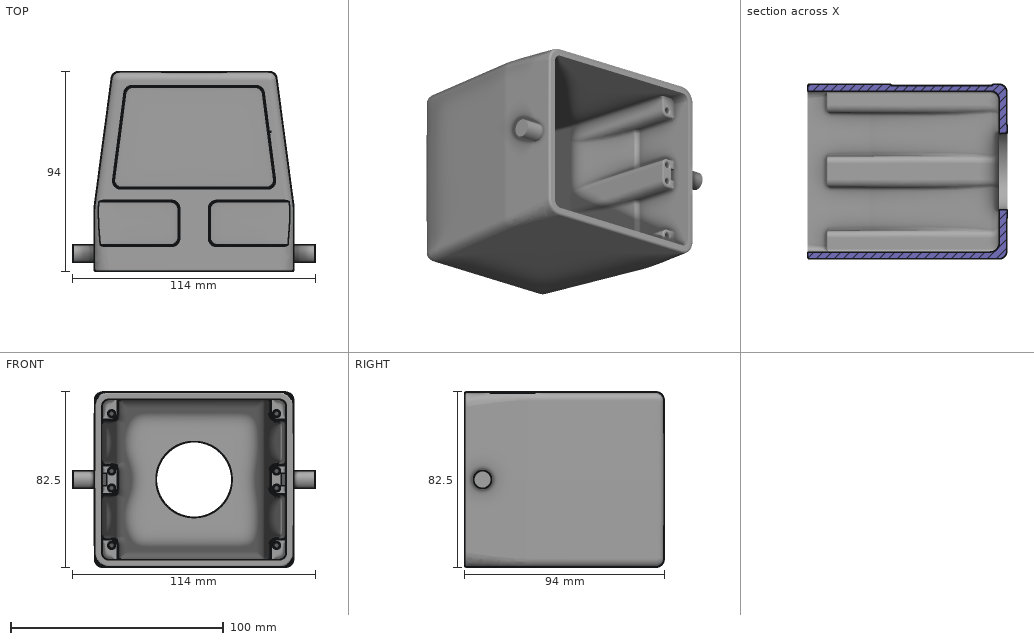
import cadquery as cq
LENGTH = 94.0
WIDTH = 94.0
HEIGHT = 82.5
BACK_WIDTH = 77.0
BEND_Y = 30.0
BEND_RADIUS = 17.0
BACK_CORNER_RADIUS = 3.5
DRAFT = 0.25
EDGE_RADIUS = 4.0
MOUTH_EDGE_RADIUS = 7.0
RIM_RADIUS = 1.0

MOUTH_WALL = 3.6
BEND_WALL = 4.3
FLOOR_WALL = 2.4
BACK_WALL = 4.0
Z_WALL = 3.5
STEP_Y = 32.0
STEP = 2.0
STEP_LENGTH = 1.5
STEP_EDGE_RADIUS = 1.0
RIGHT_FLOOR_X = 32.6
CAVITY_CORNER_RADIUS = 3.5
FLOOR_RADIUS = 4.0

RIB_Y = 9.0
RIB_RADIUS = 3.0
RIB_DRAFT = 0.5
RIB_END_CHAMFER = 0.4
RIB_ROOT_RADIUS = 1.5
CORNER_ROOT_RADIUS = 1.2
SCREW_X = 38.8
INNER_SCREW_Z = 4.0
OUTER_SCREW_Z = 31.0
SCREW_DIAMETER = 2.74
SCREW_MOUTH_DIAMETER = 3.5
SCREW_DEPTH = 12.0
NOTCH_WIDTH = 5.8
NOTCH_X = 41.0
NOTCH_DEPTH = 5.0

ENTRY_DIAMETER = 35.6
PIN_DIAMETER = 8.4
PIN_SPAN = 114.0
PIN_Y = 8.4

PANEL_DEPTH = 0.7
PANEL_TAPER = 45.0
PANEL_RADIUS = 4.0
LABEL_FRONT_Y = 38.8
LABEL_BACK_Y = 87.4
LABEL_FRONT_WIDTH = 77.6
LABEL_BACK_WIDTH = 65.0
GRIP_FRONT_Y = 11.8
GRIP_BACK_Y = 33.4
GRIP_INNER_X = 6.8

HALF_WIDTH = WIDTH / 2
HALF_HEIGHT = HEIGHT / 2
FLOOR_Y = LENGTH - BACK_WALL
CAVITY_HALF_HEIGHT = HALF_HEIGHT - Z_WALL


def make_outer():
    """Solid outside of the hood: a drafted upper half and its mirror image."""
    outline = (
        cq.Sketch()
        .polygon([
            (-HALF_WIDTH, -MOUTH_EDGE_RADIUS),
            (HALF_WIDTH, -MOUTH_EDGE_RADIUS),
            (HALF_WIDTH, BEND_Y),
            (BACK_WIDTH / 2, LENGTH),
            (-BACK_WIDTH / 2, LENGTH),
            (-HALF_WIDTH, BEND_Y),
            (-HALF_WIDTH, -MOUTH_EDGE_RADIUS),
        ])
        .vertices(">Y").fillet(BACK_CORNER_RADIUS)
        .reset()
        .vertices(cq.selectors.BoxSelector(
            (-WIDTH, BEND_Y - 1, -1), (WIDTH, BEND_Y + 1, 1)))
        .fillet(BEND_RADIUS)
        .reset()
    )
    half = cq.Workplane("XY").placeSketch(outline).extrude(HALF_HEIGHT, taper=DRAFT)
    behind_mouth = cq.Workplane("XY").box(2 * WIDTH, LENGTH, HEIGHT, centered=(True, False, False))
    half = round_long_edges(half.intersect(behind_mouth))
    body = half.union(half.mirror("XY"))
    return body.faces("<Y").edges().fillet(RIM_RADIUS)


def round_long_edges(half):
    """Round the top outline; the radius grows from the bend towards the mouth."""
    solid = half.val()
    fillet = cq.occ_impl.shapes.BRepFilletAPI_MakeFillet(solid.wrapped)
    start = half.faces(">Z").edges(">X").val()
    fillet.Add(EDGE_RADIUS, start.wrapped)
    last = fillet.NbEdges(1)
    for index in range(1, last + 1):
        fillet.SetRadius(EDGE_RADIUS, 1, index)
    fillet.SetRadius(MOUTH_EDGE_RADIUS, EDGE_RADIUS, 1, 1)
    fillet.SetRadius(EDGE_RADIUS, MOUTH_EDGE_RADIUS, 1, last)
    return cq.Workplane(cq.Shape.cast(fillet.Shape()))


def rib(side, z_low, z_high):
    """Rib from the screw face to the floor, widening towards the floor."""
    inner_x = SCREW_X - RIB_RADIUS
    section = (
        cq.Workplane("XZ", origin=(side * (inner_x + WIDTH / 4), RIB_Y, (z_low + z_high) / 2))
        .sketch().rect(WIDTH / 2, z_high - z_low)
        .vertices().fillet(RIB_RADIUS).finalize()
    )
    solid = section.extrude(RIB_Y - LENGTH, taper=-RIB_DRAFT)
    return solid.faces("<Y").edges().chamfer(RIB_END_CHAMFER)


def make_cavity():
    """Hollow of the hood, with the six screw ribs left standing."""
    bend_x = HALF_WIDTH - BEND_WALL
    mouth_x = HALF_WIDTH - MOUTH_WALL
    cavity = (
        cq.Workplane("XY").workplane(offset=-CAVITY_HALF_HEIGHT)
        .polyline([
            (-mouth_x, 0),
            (mouth_x, 0),
            (bend_x, STEP_Y),
            (bend_x - STEP, STEP_Y + STEP_LENGTH),
            (RIGHT_FLOOR_X, FLOOR_Y),
            (FLOOR_WALL - BACK_WIDTH / 2, FLOOR_Y),
            (-bend_x, BEND_Y),
        ])
        .close().extrude(2 * CAVITY_HALF_HEIGHT)
    )
    cavity = cavity.edges(cq.selectors.BoxSelector(
        (bend_x - STEP - 1, STEP_Y - 1, -1), (HALF_WIDTH, STEP_Y + STEP_LENGTH + 1, 1)
    )).fillet(STEP_EDGE_RADIUS)
    rounded_mouth = (
        cq.Workplane("XZ").rect(2 * mouth_x, 2 * CAVITY_HALF_HEIGHT).extrude(-FLOOR_Y)
        .edges("|Y").fillet(CAVITY_CORNER_RADIUS)
    )
    cavity = cavity.intersect(rounded_mouth)
    half_middle = INNER_SCREW_Z + RIB_RADIUS
    corner_z = OUTER_SCREW_Z - RIB_RADIUS
    for side in (-1, 1):
        cavity = cavity.cut(rib(side, -half_middle, half_middle))
        cavity = cavity.cut(rib(side, corner_z, HEIGHT))
        cavity = cavity.cut(rib(side, -HEIGHT, -corner_z))
    cavity = cavity.faces(">Y").edges().fillet(FLOOR_RADIUS)
    for side in (-1, 1):
        for z_side in (-1, 1):
            cavity = round_rib_roots(cavity, side, z_side)
    return cavity


def round_rib_roots(cavity, side, z_side):
    """Round the root edges of the ribs on one side wall, above or below Z = 0."""
    front_y = RIB_Y + 1
    back_y = FLOOR_Y - FLOOR_RADIUS
    reach = 1.5
    flanks = []
    for flank_z in (INNER_SCREW_Z + RIB_RADIUS, OUTER_SCREW_Z - RIB_RADIUS):
        flanks += cavity.edges(cq.selectors.BoxSelector(
            (side * SCREW_X, front_y, z_side * (flank_z - reach)),
            (side * HALF_WIDTH, back_y, z_side * (flank_z + reach)),
        )).vals()
    cavity = cavity.newObject(flanks).fillet(RIB_ROOT_RADIUS)

    rib_face_x = SCREW_X - RIB_RADIUS
    return cavity.edges(cq.selectors.BoxSelector(
        (side * (rib_face_x - 2 * reach), front_y, z_side * (CAVITY_HALF_HEIGHT - reach)),
        (side * (rib_face_x + reach), back_y, z_side * (CAVITY_HALF_HEIGHT + reach)),
    )).fillet(CORNER_ROOT_RADIUS)


def make_pins():
    """Two locking pins standing out of the side walls."""
    pin_length = (PIN_SPAN - WIDTH) / 2 + MOUTH_WALL / 2
    pins = cq.Workplane("XY")
    for side in (-1, 1):
        pin = (
            cq.Workplane("YZ", origin=(side * PIN_SPAN / 2, PIN_Y, 0))
            .circle(PIN_DIAMETER / 2).extrude(-side * pin_length)
        )
        pins = pins.union(pin)
    return pins


def make_panels():
    """Shallow panels in the upper face: one label panel and two grip panels."""
    label = (
        cq.Sketch()
        .polygon([
            (-LABEL_FRONT_WIDTH / 2, LABEL_FRONT_Y),
            (LABEL_FRONT_WIDTH / 2, LABEL_FRONT_Y),
            (LABEL_BACK_WIDTH / 2, LABEL_BACK_Y),
            (-LABEL_BACK_WIDTH / 2, LABEL_BACK_Y),
            (-LABEL_FRONT_WIDTH / 2, LABEL_FRONT_Y),
        ])
        .vertices().fillet(PANEL_RADIUS)
    )
    panels = panel(label)
    for side in (-1, 1):
        grip_center = (side * (GRIP_INNER_X + HALF_WIDTH / 2), (GRIP_FRONT_Y + GRIP_BACK_Y) / 2)
        grip = (
            cq.Sketch()
            .push([grip_center]).rect(HALF_WIDTH, GRIP_BACK_Y - GRIP_FRONT_Y)
            .reset().vertices().fillet(PANEL_RADIUS)
        )
        panels = panels.union(panel(grip))
    return panels


def panel(outline):
    """Cutter for one panel, its walls sloping inward to the panel floor."""
    return (
        cq.Workplane("XY", origin=(0, 0, HALF_HEIGHT))
        .placeSketch(outline).extrude(-PANEL_DEPTH, taper=PANEL_TAPER)
    )


def make_screw_holes():
    """Blind countersunk screw holes in the rib faces."""
    mouth_depth = (SCREW_MOUTH_DIAMETER - SCREW_DIAMETER) / 2
    profile = [
        (0, 0),
        (SCREW_MOUTH_DIAMETER / 2, 0),
        (SCREW_DIAMETER / 2, mouth_depth),
        (SCREW_DIAMETER / 2, SCREW_DEPTH),
        (0, SCREW_DEPTH),
    ]
    holes = cq.Workplane("XY")
    for x in (-SCREW_X, SCREW_X):
        for z in (-OUTER_SCREW_Z, -INNER_SCREW_Z, INNER_SCREW_Z, OUTER_SCREW_Z):
            hole = (
                cq.Workplane("XY", origin=(x, RIB_Y, z))
                .polyline(profile).close().revolve(360, (0, 0, 0), (0, 1, 0))
            )
            holes = holes.union(hole)
    return holes


def make_notches():
    """Notches between the side walls and the faces of the middle ribs."""
    wall_x = HALF_WIDTH - MOUTH_WALL
    notches = cq.Workplane("XY")
    for side in (-1, 1):
        notch = (
            cq.Workplane("XY", origin=(side * (NOTCH_X + wall_x) / 2, RIB_Y + NOTCH_DEPTH / 2, 0))
            .box(wall_x - NOTCH_X, NOTCH_DEPTH, NOTCH_WIDTH)
        )
        notches = notches.union(notch)
    return notches


def make_cable_entry():
    """Round cable entry through the back wall."""
    return (
        cq.Workplane("XZ", origin=(0, FLOOR_Y - BACK_WALL, 0))
        .circle(ENTRY_DIAMETER / 2).extrude(-3 * BACK_WALL)
    )


result = (
    make_outer()
    .cut(make_cavity())
    .cut(make_cable_entry())
    .cut(make_panels())
    .cut(make_screw_holes())
    .cut(make_notches())
    .union(make_pins())
)